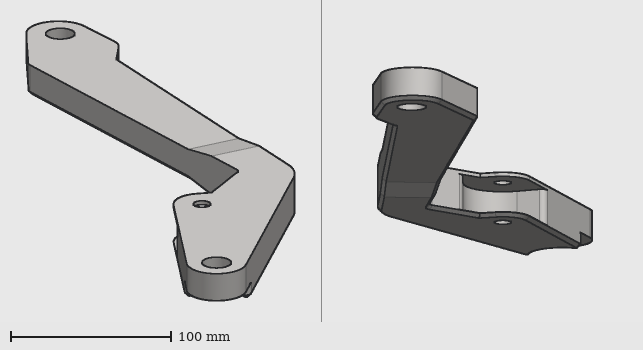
import cadquery as cq
import math

THICKNESS = 28.0
ARM_RECESS = 3.8
BOTTOM_CHAMFER = 2.45

RAMP_START = 207.7
RAMP_END = 233.0

ARM_HOLE = (0, 0)
END_HOLE = (405.5, -14.3)
LUG_HOLE = (308.5, 4.0)
MAIN_HOLE_DIAMETER = 18.5
LUG_HOLE_DIAMETER = 10.5

ARM_END_CENTRE = (-1.5, -1.0)
ARM_END_RADIUS = 20.0
END_RADIUS = 18.7
LUG_RADIUS = 18.0
LUG_NECK = (291.5, 15.0)
ARM_NOTCH = (51.0, 22.0)

LUG_PLATE = 2.5
POCKET_RADIUS = 25.0
POCKET_MOUTH_RADIUS = 4.0
POCKET_ENTRY_RADIUS = 6.0
POCKET_MOUTH_OFFSET = 26.5
POCKET_ENTRY_SETBACK = 16.5

RELIEF_HEIGHT = 10.0
RELIEF_RADIUS = 19.0
RELIEF_CORNER_RADIUS = 3.0

ARM_END = (ARM_END_CENTRE, ARM_END_RADIUS)
SHOULDER = ((26.5, 17.5), 12.5)
NOTCH = (ARM_NOTCH, 0)
ELBOW = ((267.0, 44.5), 30.5)
END = (END_HOLE, END_RADIUS)
LUG = (LUG_HOLE, LUG_RADIUS)
NECK = (LUG_NECK, 0)
INNER_ELBOW = ((260.5, 37.0), -4.0)
ARM_HEEL = ((43.5, -28.5), 4.5)
UPPER_CORNERS = [ARM_END, SHOULDER, NOTCH, ELBOW, END]
LOWER_CORNERS = [INNER_ELBOW, ARM_HEEL]


def tangent_frame(first, second):
    """Unit direction and left-hand normal of the line joining two corners."""
    (x1, y1), r1 = first
    (x2, y2), r2 = second
    heading = math.atan2(y2 - y1, x2 - x1)
    heading += math.asin((r2 - r1) / math.hypot(x2 - x1, y2 - y1))
    direction = (math.cos(heading), math.sin(heading))
    return direction, (-direction[1], direction[0])


def offset(point, direction, distance):
    return (point[0] + distance * direction[0], point[1] + distance * direction[1])


def outline(corners, z, height):
    """Extrude the closed outline of straight tangents and corner arcs."""
    count = len(corners)
    normals = [tangent_frame(corners[i], corners[(i + 1) % count])[1] for i in range(count)]
    sketch = cq.Workplane("XY").workplane(offset=z)
    sketch = sketch.moveTo(*offset(corners[0][0], normals[0], corners[0][1]))
    for i in range(1, count + 1):
        centre, radius = corners[i % count]
        before = normals[i - 1]
        after = normals[i % count]
        sketch = sketch.lineTo(*offset(centre, before, radius))
        if radius:
            length = math.hypot(before[0] + after[0], before[1] + after[1])
            middle = ((before[0] + after[0]) / length, (before[1] + after[1]) / length)
            sketch = sketch.threePointArc(
                offset(centre, middle, radius), offset(centre, after, radius)
            )
    return sketch.close().extrude(height)


def plan_body():
    return outline(UPPER_CORNERS + [LUG, NECK] + LOWER_CORNERS, 0, THICKNESS)


def side_envelope():
    """Thin arm, ramps and thick end seen across the arm, as one wide slab."""
    reach = 891.5
    direction, normal = tangent_frame(NOTCH, ELBOW)
    plane = cq.Plane(origin=(0, 0, 0), xDir=(*direction, 0), normal=(-normal[0], -normal[1], 0))
    arm_top = THICKNESS - ARM_RECESS
    points = [
        (-reach, ARM_RECESS),
        (RAMP_START, ARM_RECESS),
        (RAMP_END, 0),
        (reach, 0),
        (reach, THICKNESS),
        (RAMP_END, THICKNESS),
        (RAMP_START, arm_top),
        (-reach, arm_top),
    ]
    return cq.Workplane(plane).polyline(points).close().extrude(reach, both=True)


def cut_end_relief(body):
    relief = cq.Workplane("XY").center(*END_HOLE).circle(RELIEF_RADIUS).extrude(RELIEF_HEIGHT)
    body = body.cut(relief)
    corner_zone = cq.selectors.BoxSelector(
        (END_HOLE[0] - RELIEF_RADIUS, END_HOLE[1] - RELIEF_RADIUS, 0),
        (END_HOLE[0] + RELIEF_RADIUS, END_HOLE[1] + RELIEF_RADIUS, RELIEF_HEIGHT),
    )
    return body.edges("|Z").edges(corner_zone).fillet(RELIEF_CORNER_RADIUS)


def chamfer_underside(body):
    """Chamfer the rim of the underside, leaving the ramp fold lines alone."""
    downward = -0.5
    undersides = [
        face
        for face in body.faces().vals()
        if face.normalAt().z < downward and face.BoundingBox().zmin < RELIEF_HEIGHT / 2
    ]
    edges = [edge for face in undersides for edge in face.Edges()]
    rim = [edge for edge in edges if sum(edge.isSame(other) for other in edges) == 1]
    return body.newObject(rim).chamfer(BOTTOM_CHAMFER)


def lug_pocket():
    """Void between the lug plates: the lug zone less the core of the body."""
    direction, normal = tangent_frame(NECK, INNER_ELBOW)
    entry_start = offset(LUG_NECK, direction, POCKET_ENTRY_SETBACK)
    entry = offset(entry_start, normal, -POCKET_ENTRY_RADIUS)

    direction, normal = tangent_frame(END, LUG)
    mouth_base = offset(END_HOLE, normal, END_RADIUS - POCKET_MOUTH_RADIUS)
    mouth_x = LUG_HOLE[0] + POCKET_MOUTH_OFFSET
    mouth = offset(mouth_base, direction, (mouth_x - mouth_base[0]) / direction[0])

    pocket_corners = [
        (mouth, POCKET_MOUTH_RADIUS),
        (LUG_HOLE, -POCKET_RADIUS),
        (entry, POCKET_ENTRY_RADIUS),
    ]
    height = THICKNESS - 2 * LUG_PLATE
    core = outline(UPPER_CORNERS + pocket_corners + LOWER_CORNERS, LUG_PLATE, height)
    zone_size = 4 * LUG_RADIUS
    zone = (
        cq.Workplane("XY")
        .workplane(offset=LUG_PLATE)
        .center(*LUG_HOLE)
        .rect(zone_size, zone_size)
        .extrude(height)
    )
    return zone.cut(core)


def hole(centre, diameter):
    return cq.Workplane("XY").center(*centre).circle(diameter / 2).extrude(THICKNESS)


result = plan_body().intersect(side_envelope())
result = cut_end_relief(result)
result = chamfer_underside(result)
result = result.cut(lug_pocket())
for centre, diameter in [
    (ARM_HOLE, MAIN_HOLE_DIAMETER),
    (END_HOLE, MAIN_HOLE_DIAMETER),
    (LUG_HOLE, LUG_HOLE_DIAMETER),
]:
    result = result.cut(hole(centre, diameter))